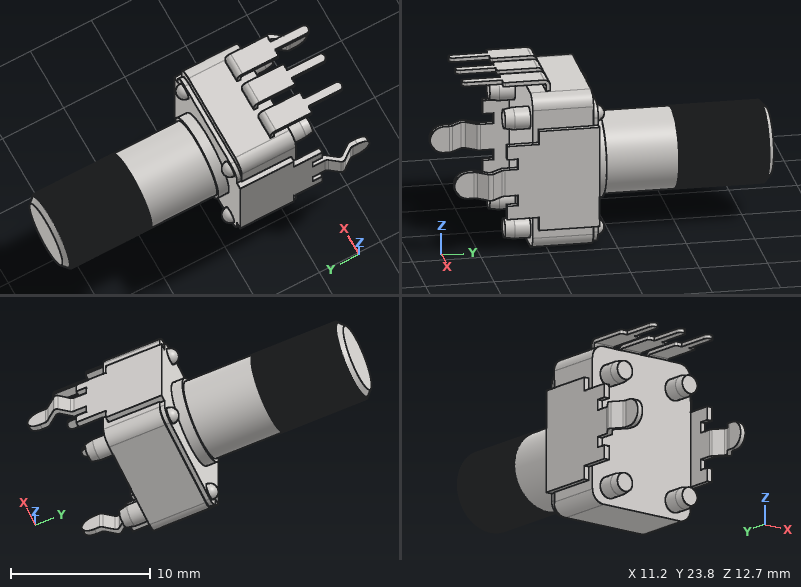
import cadquery as cq
import math


shaft_radius = 3.0
shaft_tip_y = 13.2
tip_chamfer = 0.52
knurl_length = 7.02
knurl_teeth = 100
knurl_depth = 0.15
crest_share = 0.4
root_share = 0.4
collar_radius = 3.24
collar_length = 0.85

plate_thickness = 0.35
plate_height = 10.75
plate_width = 8.85
plate_corner_radius = 1.0
strap_outer_x = 4.93
strap_half_height = 3.8
shoulder_y = -4.4
prong_outer_z = 2.8
prong_inner_z = 1.78
prong_end_y = -6.74
notch_y = -5.95
lug_half_height = 1.0
lug_tip_y = -10.6

kink_outer_x = 5.62
kink_angle = math.radians(37.4)
kink_start_y = -7.07
kink_half_length = 1.0
kink_bend_radius = 0.38

body_width = 9.0
body_top_z = 6.28
body_bottom_z = -5.52
body_back_y = -4.8
body_corner_radius = 1.0

rivet_radius = 0.62
rivet_x = plate_width / 2 - plate_corner_radius
rivet_z = plate_height / 2 - plate_corner_radius

pin_radius = 0.8
pin_tip_radius = 0.7
pin_straight_length = 1.17
pin_taper_length = 0.67
pin_x = 2.98
pin_z = 4.2

terminal_pitch = 2.5
terminal_thickness = 0.3
terminal_width = 1.8
terminal_top_z = 7.15
terminal_front_y = -3.3
terminal_shoulder_y = -6.74
terminal_tip_y = -9.65
terminal_bend_radius = 0.45
terminal_corner_radius = 0.15
tail_width = 0.7
tail_tip_radius = 0.33

strap_inner_x = body_width / 2
strap_thickness = strap_outer_x - strap_inner_x
plate_back_y = -plate_thickness


def cylinder_y(radius, start_y, end_y):
    """A cylinder on the Y axis between two places."""
    return cq.Workplane("XZ", origin=(0, end_y, 0)).circle(radius).extrude(end_y - start_y)


def make_shaft():
    """The shaft with its collar, knurled end and chamfered tip."""
    knurl_start_y = shaft_tip_y - knurl_length
    collar = cylinder_y(collar_radius, plate_back_y, collar_length)
    plain = cylinder_y(shaft_radius, 0, knurl_start_y)
    pitch_angle = 2 * math.pi / knurl_teeth
    root_radius = shaft_radius - knurl_depth
    tooth = (
        (-crest_share / 2, shaft_radius),
        (crest_share / 2, shaft_radius),
        ((1 - root_share) / 2, root_radius),
        ((1 + root_share) / 2, root_radius),
    )
    outline = []
    for i in range(knurl_teeth):
        for turn, radius in tooth:
            angle = (i + turn) * pitch_angle
            outline.append((radius * math.cos(angle), radius * math.sin(angle)))
    knurl = cq.Workplane("XZ", origin=(0, shaft_tip_y, 0)).polyline(outline).close().extrude(knurl_length)
    envelope = cylinder_y(shaft_radius, knurl_start_y, shaft_tip_y).faces(">Y").chamfer(tip_chamfer)
    return collar.union(plain).union(knurl.intersect(envelope))


def make_body():
    """The rounded housing between the straps."""
    height = body_top_z - body_bottom_z
    center_z = (body_top_z + body_bottom_z) / 2
    return (
        cq.Workplane("XZ", origin=(0, plate_back_y, center_z))
        .rect(body_width, height)
        .extrude(plate_back_y - body_back_y)
        .edges("|Y")
        .fillet(body_corner_radius)
    )


def make_plate():
    """The front plate, widened between the straps."""
    plate = (
        cq.Workplane("XZ")
        .rect(plate_width, plate_height)
        .extrude(plate_thickness)
        .edges("|Y")
        .fillet(plate_corner_radius)
    )
    bridge = cq.Workplane("XZ").rect(2 * strap_outer_x, 2 * strap_half_height).extrude(plate_thickness)
    return plate.union(bridge)


def make_strap_sheet():
    """The +X strap as a kinked sheet, before its side outline is cut."""
    crest_y = kink_start_y - kink_half_length
    kink_end_y = crest_y - kink_half_length
    outer_apex_x = strap_outer_x + kink_half_length * math.tan(kink_angle)
    inner_apex_x = outer_apex_x - strap_thickness
    crest_radius = (outer_apex_x - kink_outer_x) / (1 / math.cos(kink_angle) - 1)
    sheet = (
        cq.Workplane("XY")
        .moveTo(strap_outer_x, 0)
        .lineTo(strap_outer_x, kink_start_y)
        .lineTo(outer_apex_x, crest_y)
        .lineTo(strap_outer_x, kink_end_y)
        .lineTo(strap_outer_x, lug_tip_y)
        .lineTo(strap_inner_x, lug_tip_y)
        .lineTo(strap_inner_x, kink_end_y)
        .lineTo(inner_apex_x, crest_y)
        .lineTo(strap_inner_x, kink_start_y)
        .lineTo(strap_inner_x, 0)
        .close()
        .extrude(strap_half_height, both=True)
    )
    bends = (
        (strap_outer_x, kink_start_y, kink_bend_radius),
        (strap_outer_x, kink_end_y, kink_bend_radius),
        (strap_inner_x, kink_start_y, kink_bend_radius),
        (strap_inner_x, kink_end_y, kink_bend_radius),
        (outer_apex_x, crest_y, crest_radius),
        (inner_apex_x, crest_y, crest_radius),
    )
    for x, y, radius in bends:
        corner = cq.selectors.NearestToPointSelector((x, y, 0))
        sheet = sheet.edges("|Z").edges(corner).fillet(radius)
    return sheet


def make_strap():
    """The +X strap: the bent sheet cut to its side outline."""
    lug_arc_y = lug_tip_y + lug_half_height
    outline = (
        cq.Workplane("YZ", origin=(strap_inner_x, 0, 0))
        .moveTo(0, strap_half_height)
        .lineTo(shoulder_y, strap_half_height)
        .lineTo(shoulder_y, prong_outer_z)
        .lineTo(prong_end_y, prong_outer_z)
        .lineTo(prong_end_y, prong_inner_z)
        .lineTo(notch_y, prong_inner_z)
        .lineTo(notch_y, lug_half_height)
        .lineTo(lug_arc_y, lug_half_height)
        .threePointArc((lug_tip_y, 0), (lug_arc_y, -lug_half_height))
        .lineTo(notch_y, -lug_half_height)
        .lineTo(notch_y, -prong_inner_z)
        .lineTo(prong_end_y, -prong_inner_z)
        .lineTo(prong_end_y, -prong_outer_z)
        .lineTo(shoulder_y, -prong_outer_z)
        .lineTo(shoulder_y, -strap_half_height)
        .lineTo(0, -strap_half_height)
        .close()
        .extrude(kink_outer_x - strap_inner_x)
    )
    return make_strap_sheet().intersect(outline)


def make_rivet():
    """One domed rivet head on the plate."""
    return cq.Workplane("XY").sphere(rivet_radius)


def make_pin():
    """One locating pin with a tapered end, starting on the back of the body."""
    taper_y = body_back_y - pin_straight_length
    tip_y = taper_y - pin_taper_length
    return (
        cq.Workplane("XY")
        .moveTo(0, body_back_y)
        .lineTo(pin_radius, body_back_y)
        .lineTo(pin_radius, taper_y)
        .lineTo(pin_tip_radius, tip_y)
        .lineTo(0, tip_y)
        .close()
        .revolve(360, (0, 0, 0), (0, 1, 0))
    )


def terminal_blank(width, end_y, corner_radius):
    """A block from the terminal's front face to end_y, with its two far corners rounded."""
    length = terminal_front_y - end_y
    return (
        cq.Workplane("XY", origin=(0, terminal_front_y - length / 2, body_top_z))
        .rect(width, length)
        .extrude(terminal_top_z - body_top_z)
        .edges("|Z and <Y")
        .fillet(corner_radius)
    )


def make_terminal():
    """One bent terminal at X = 0: a leg out of the body and a flat blade with a narrow tail."""
    inner_bend_radius = terminal_bend_radius - terminal_thickness
    leg_back_y = terminal_front_y - terminal_thickness
    blade_bottom_z = terminal_top_z - terminal_thickness
    strip = (
        cq.Workplane("YZ")
        .moveTo(terminal_front_y, body_top_z)
        .lineTo(terminal_front_y, terminal_top_z)
        .lineTo(terminal_tip_y, terminal_top_z)
        .lineTo(terminal_tip_y, blade_bottom_z)
        .lineTo(leg_back_y, blade_bottom_z)
        .lineTo(leg_back_y, body_top_z)
        .close()
        .extrude(terminal_width / 2, both=True)
    )
    strip = strip.edges("|X and >Y and >Z").fillet(terminal_bend_radius)
    inner_bend = cq.selectors.NearestToPointSelector((0, leg_back_y, blade_bottom_z))
    strip = strip.edges("|X").edges(inner_bend).fillet(inner_bend_radius)
    blade = terminal_blank(terminal_width, terminal_shoulder_y, terminal_corner_radius)
    tail = terminal_blank(tail_width, terminal_tip_y, tail_tip_radius)
    return strip.intersect(blade.union(tail))


result = make_shaft().union(make_body()).union(make_plate())

strap = make_strap()
result = result.union(strap).union(strap.mirror("YZ"))

for side_x in (-1, 1):
    for side_z in (-1, 1):
        result = result.union(make_rivet().translate((side_x * rivet_x, 0, side_z * rivet_z)))
        result = result.union(make_pin().translate((side_x * pin_x, 0, side_z * pin_z)))

for place in (-1, 0, 1):
    result = result.union(make_terminal().translate((place * terminal_pitch, 0, 0)))